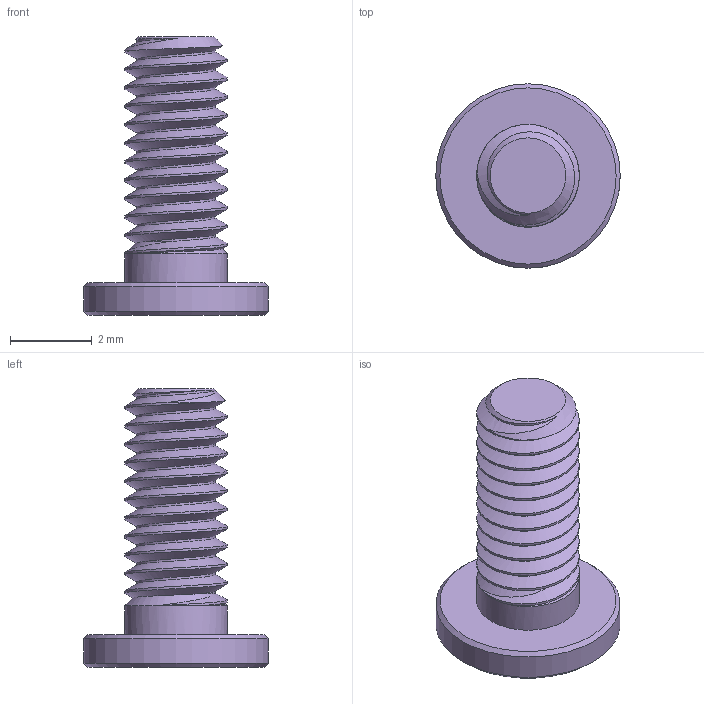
import cadquery as cq
import math

head_diameter = 4.5
head_height = 0.8
head_chamfer = 0.1
thread_diameter = 2.5
pitch = 0.45
shank_length = 6.0
shoulder_length = 0.7
tip_diameter = 1.84
thread_angle = 60

head_radius = head_diameter / 2
major_radius = thread_diameter / 2
tip_radius = tip_diameter / 2
total_height = head_height + shank_length
thread_start = head_height + shoulder_length

flank_slope = math.tan(math.radians(thread_angle / 2))
sharp_height = pitch / (2 * flank_slope)
flat_fraction = 1 / 8
thread_depth = (1 - 2 * flat_fraction) * sharp_height
root_radius = major_radius - thread_depth
crest_width = pitch * flat_fraction

ridge_base_radius = root_radius - sharp_height * flat_fraction / 2

envelope_radius = major_radius + thread_depth


def make_head():
    """Flat disc with both rims chamfered, standing on Z = 0."""
    head = cq.Workplane("XY").circle(head_radius).extrude(head_height)
    return head.edges().chamfer(head_chamfer)


def revolved(profile):
    """Full turn of a radius-height outline about the Z axis."""
    return cq.Workplane("XZ").polyline(profile).close().revolve(360, (0, 0, 0), (0, 1, 0))


def make_core():
    """Plain shoulder, a 45 degree cone in to the thread root, and the root cylinder."""
    return revolved([
        (0, head_height),
        (major_radius, head_height),
        (major_radius, thread_start),
        (root_radius, thread_start + thread_depth),
        (root_radius, total_height),
        (0, total_height),
    ])


def make_ridge():
    """Right-hand helical ridge, with its gap centred on the thread start at +X, running past both ends."""
    first_crest = thread_start - 1.5 * pitch
    helix_height = total_height + pitch - first_crest
    helix = cq.Wire.makeHelix(pitch, helix_height, major_radius, center=cq.Vector(0, 0, first_crest))
    crest_half = crest_width / 2
    base_half = crest_half + (major_radius - ridge_base_radius) * flank_slope
    profile = cq.Workplane("XZ").polyline([
        (ridge_base_radius, first_crest - base_half),
        (major_radius, first_crest - crest_half),
        (major_radius, first_crest + crest_half),
        (ridge_base_radius, first_crest + base_half),
    ]).close()
    return profile.sweep(cq.Workplane(obj=helix), isFrenet=True)


def make_tip_envelope():
    """Space the threaded shank may fill: everything inside the 45 degree tip chamfer."""
    rim_height = total_height - (envelope_radius - tip_radius)
    return revolved([
        (0, head_height),
        (envelope_radius, head_height),
        (envelope_radius, rim_height),
        (tip_radius, total_height),
        (0, total_height),
    ])


def make_shank():
    """Core with the ridge above the shoulder, trimmed to the tip chamfer."""
    shoulder_plane = cq.Workplane("XY").workplane(offset=thread_start)
    above_shoulder = shoulder_plane.circle(envelope_radius).extrude(shank_length)
    thread = make_ridge().intersect(above_shoulder)
    return make_core().union(thread).intersect(make_tip_envelope())


result = make_head().union(make_shank()).solids()